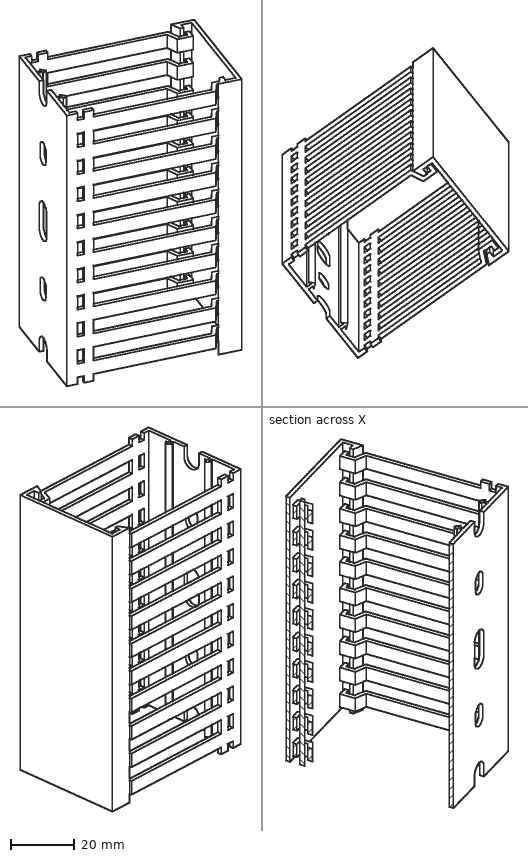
import cadquery as cq

WIDTH = 40.0
DEPTH = 60.0
LENGTH = 100.0
WALL = 1.5
HALF_WIDTH = WIDTH / 2

FINGER_COUNT = 10
FINGER_PITCH = LENGTH / FINGER_COUNT
GAP_HEIGHT = FINGER_PITCH / 2
WINDOW_START = 3.7
WINDOW_END = 6.0
GAP_START = 9.2

BEND_START = 51.1
BEND_RISE = 1.9
BEND_INSET = 4.0
INNER_BEND_DROP = 1.0
HOOK_TOP = 57.5
HOOK_REACH_INSET = 2.2

LIP_TOP = 55.0
LIP_INSET = 3.5
LIP_TIP_BOTTOM = 53.8
COVER_SKIRT_END = 52.0

RIB_OFFSET = 8.5
RIB_STEM_WIDTH = 1.0
RIB_BARB_WIDTH = 2.8
RIB_BARB_HEIGHT = 2.9
RIB_NECK_HEIGHT = 3.2
RIB_TIP_HEIGHT = 4.6

LARGE_SLOT_LENGTH = 14.0
LARGE_SLOT_WIDTH = 6.4
SMALL_SLOT_LENGTH = 8.0
SMALL_SLOT_WIDTH = 5.0
LARGE_SLOT_HEIGHTS = (0, LENGTH / 2, LENGTH)
SMALL_SLOT_HEIGHTS = (LENGTH / 4, LENGTH * 3 / 4)


def extrude_symmetric(right_half):
    """Extrude an open chain of points in the +X half, closed by its mirror image in -X."""
    left_half = [(-x, y) for x, y in reversed(right_half)]
    return cq.Workplane("XY").polyline(right_half + left_half).close().extrude(LENGTH)


def duct_channel():
    """U-shaped channel whose side walls end in inward hooks."""
    outer_bend_end = BEND_START + BEND_RISE
    inner_bend_start = BEND_START - INNER_BEND_DROP
    inner_bend_end = outer_bend_end - INNER_BEND_DROP
    neck_outer = HALF_WIDTH - BEND_INSET
    neck_inner = neck_outer - WALL
    hook_tip = HALF_WIDTH - HOOK_REACH_INSET
    return extrude_symmetric([
        (HALF_WIDTH, 0),
        (HALF_WIDTH, BEND_START),
        (neck_outer, outer_bend_end),
        (neck_outer, HOOK_TOP - WALL),
        (hook_tip, HOOK_TOP - WALL),
        (hook_tip, HOOK_TOP),
        (neck_inner, HOOK_TOP),
        (neck_inner, inner_bend_end),
        (HALF_WIDTH - WALL, inner_bend_start),
        (HALF_WIDTH - WALL, WALL),
    ])


def arrow_rib(center_x):
    """Full-length rib with an arrow-shaped section, standing on the base."""
    half_stem = RIB_STEM_WIDTH / 2
    half_barb = RIB_BARB_WIDTH / 2
    section = [
        (-half_stem, WALL),
        (half_stem, WALL),
        (half_stem, RIB_NECK_HEIGHT),
        (half_barb, RIB_BARB_HEIGHT),
        (0, RIB_TIP_HEIGHT),
        (-half_barb, RIB_BARB_HEIGHT),
        (-half_stem, RIB_NECK_HEIGHT),
    ]
    return cq.Workplane("XY").center(center_x, 0).polyline(section).close().extrude(LENGTH)


def side_opening(y_start, y_end, z_center, x_inner):
    """Cutter through both side walls, leaving everything between +/-x_inner alone."""
    cutter_width = HALF_WIDTH - x_inner
    cutter = cq.Workplane("XY").box(cutter_width, y_end - y_start, GAP_HEIGHT)
    y_center = (y_start + y_end) / 2
    x_center = x_inner + cutter_width / 2
    right = cutter.translate((x_center, y_center, z_center))
    return right.union(cutter.translate((-x_center, y_center, z_center)))


def base_slots(heights, length, width):
    """Round-ended cutters through the base."""
    return (
        cq.Workplane("XZ")
        .pushPoints([(0, z) for z in heights])
        .slot2D(length, width, 90)
        .extrude(-WALL)
    )


def make_duct():
    duct = duct_channel()
    for center_x in (-RIB_OFFSET, RIB_OFFSET):
        duct = duct.union(arrow_rib(center_x))
    for i in range(FINGER_COUNT + 1):
        z_center = i * FINGER_PITCH
        duct = duct.cut(side_opening(WINDOW_START, WINDOW_END, z_center, HALF_WIDTH - WALL))
        duct = duct.cut(side_opening(GAP_START, DEPTH, z_center, HALF_WIDTH / 2))
    duct = duct.cut(base_slots(LARGE_SLOT_HEIGHTS, LARGE_SLOT_LENGTH, LARGE_SLOT_WIDTH))
    return duct.cut(base_slots(SMALL_SLOT_HEIGHTS, SMALL_SLOT_LENGTH, SMALL_SLOT_WIDTH))


def make_cover():
    """Flat cover with short skirts and inward lips."""
    return extrude_symmetric([
        (HALF_WIDTH - WALL, DEPTH - WALL),
        (HALF_WIDTH - WALL, LIP_TOP),
        (HALF_WIDTH - LIP_INSET, LIP_TOP),
        (HALF_WIDTH - LIP_INSET, LIP_TIP_BOTTOM),
        (HALF_WIDTH, COVER_SKIRT_END),
        (HALF_WIDTH, DEPTH),
    ])


duct = make_duct()
cover = make_cover()
result = cq.Compound.makeCompound([duct.solids().val(), cover.val()])